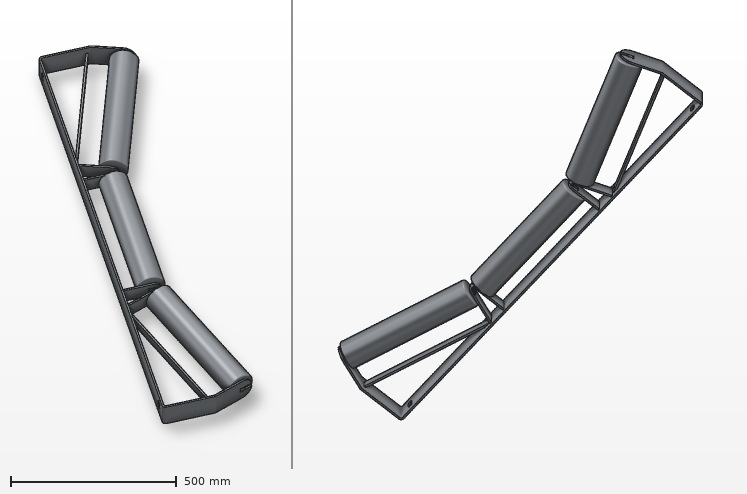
import cadquery as cq
import math

frame_length = 1400.0
strip_width = 80.0
strip_thickness = 6.0
bend_radius = 11.0
arm_bend_height = 164.0
tilt_angle = 20.0
axle_distance_on_arm = 102.0
arm_length = 136.0
mount_hole_width = 17.0
mount_hole_height = 28.0
mount_hole_edge_distance = 46.0

roller_diameter = 90.0
roller_length = 430.0
roller_edge_radius = 4.9
roller_end_gap = 4.9
centre_roller_end_gap = 3.0
centre_roller_height = 98.0
axle_diameter = 20.0
axle_flat_width = 14.0

bracket_height = 127.0
bracket_width = 50.0
bracket_bend_radius = 7.0

brace_width = 30.0
brace_thickness = 7.0
brace_top_height = 154.0

tilt = math.radians(tilt_angle)
sin_tilt = math.sin(tilt)
cos_tilt = math.cos(tilt)
tan_tilt = math.tan(tilt)
half_length = frame_length / 2
axle_radius = axle_diameter / 2

outer_axle_x = half_length - axle_distance_on_arm * sin_tilt
outer_axle_y = arm_bend_height + axle_distance_on_arm * cos_tilt
plate_to_plate = roller_length + 2 * roller_end_gap
side_axle_length = plate_to_plate + 2 * strip_thickness
bracket_face_distance = strip_thickness + plate_to_plate
bracket_axle_x = outer_axle_x - bracket_face_distance * cos_tilt
bracket_axle_y = outer_axle_y - bracket_face_distance * sin_tilt
centre_axle_length = roller_length + 2 * (centre_roller_end_gap + strip_thickness)
bracket_inner_x = roller_length / 2 + centre_roller_end_gap


def mirrored(workplane):
    """The left-hand twin of a right-hand body."""
    return workplane.mirror("YZ")


def strip(points, width):
    """A flat outline in XY made into a plate of the given width, centred on z = 0."""
    return cq.Workplane("XY").polyline(points).close().extrude(width / 2, both=True)


def tilted_plane(x, y):
    """A plane at (x, y): its X runs up along the right-hand arm, its Y along Z, its normal inwards."""
    return cq.Plane(origin=(x, y, 0), xDir=(-sin_tilt, cos_tilt, 0), normal=(-cos_tilt, -sin_tilt, 0))


def level_plane(x, y):
    """A plane at (x, y): its X runs along Y, its Y along Z, its normal along -X."""
    return cq.Plane(origin=(x, y, 0), xDir=(0, 1, 0), normal=(-1, 0, 0))


def round_ended_plate(plane, length, width, depth):
    """A strip of the given length along the plane's X, square at its start and fully rounded at its tip."""
    round_centre = length - width / 2
    return (
        cq.Workplane(plane)
        .moveTo(0, -width / 2)
        .lineTo(round_centre, -width / 2)
        .threePointArc((length, 0), (round_centre, width / 2))
        .lineTo(0, width / 2)
        .close()
        .extrude(depth)
    )


def axle_slot(plane):
    """Cutter for a square-ended slot under an axle, open upwards past the plate's tip."""
    slot_length = strip_width
    return (
        cq.Workplane(plane)
        .center(slot_length / 2 - axle_radius, 0)
        .rect(slot_length, axle_flat_width)
        .extrude(strip_thickness)
    )


def rounded_bends(body, distance, heights, radius):
    """Round the full-width bend edges at x = -distance and x = +distance at each given height."""
    match_tolerance = 0.01
    bends = body.edges("|Z").filter(
        lambda edge: math.isclose(abs(edge.Center().x), distance, abs_tol=match_tolerance)
        and any(math.isclose(edge.Center().y, height, abs_tol=match_tolerance) for height in heights)
    )
    return bends.fillet(radius).clean()


def make_arm():
    """The right-hand leaning arm, with a rounded tip and an axle slot."""
    outer_face = tilted_plane(half_length, arm_bend_height)
    arm = round_ended_plate(outer_face, arm_length, strip_width, strip_thickness)
    return arm.cut(axle_slot(tilted_plane(outer_axle_x, outer_axle_y)))


def make_frame():
    """Base, uprights and arms as one bent strip."""
    inner_x = half_length - strip_thickness
    inner_bend_y = arm_bend_height - strip_thickness * math.tan(tilt / 2)
    right_half = [
        (half_length, 0),
        (half_length, arm_bend_height),
        (inner_x, inner_bend_y),
        (inner_x, strip_thickness),
    ]
    left_half = [(-x, y) for x, y in reversed(right_half)]
    arm = make_arm()
    frame = strip(right_half + left_half, strip_width).union(arm).union(mirrored(arm))
    frame = rounded_bends(frame, half_length, (0, arm_bend_height), bend_radius)
    frame = rounded_bends(frame, inner_x, (strip_thickness, inner_bend_y), bend_radius - strip_thickness)
    hole_x = half_length - mount_hole_edge_distance
    holes = (
        cq.Workplane("XZ")
        .pushPoints([(-hole_x, 0), (hole_x, 0)])
        .slot2D(mount_hole_height, mount_hole_width, 90)
        .extrude(-strip_thickness)
    )
    return frame.cut(holes)


def make_roller(plane, axle_length):
    """A roller on a flatted axle; the axle starts on the plane and runs along its normal."""
    end_offset = (axle_length - roller_length) / 2
    drum = (
        cq.Workplane(plane)
        .workplane(offset=end_offset)
        .circle(roller_diameter / 2)
        .extrude(roller_length)
        .edges("%CIRCLE")
        .fillet(roller_edge_radius)
    )
    flats = cq.Workplane(plane).rect(axle_diameter, axle_flat_width).extrude(axle_length)
    axle = cq.Workplane(plane).circle(axle_radius).extrude(axle_length).intersect(flats)
    return drum.union(axle)


def make_bracket():
    """The right-hand folded bracket: a leg for the centre roller and a leaning one for the side roller."""
    def leaning_x(y):
        return bracket_axle_x + (bracket_axle_y - y) * tan_tilt

    leg_inner_x = bracket_inner_x + strip_thickness
    leaning_thickness = strip_thickness / cos_tilt
    web_y = bracket_height - strip_thickness
    bracket = strip(
        [
            (bracket_inner_x, strip_thickness),
            (bracket_inner_x, bracket_height),
            (leaning_x(bracket_height), bracket_height),
            (leaning_x(strip_thickness), strip_thickness),
            (leaning_x(strip_thickness) - leaning_thickness, strip_thickness),
            (leaning_x(web_y) - leaning_thickness, web_y),
            (leg_inner_x, web_y),
            (leg_inner_x, strip_thickness),
        ],
        bracket_width,
    )
    bracket = bracket.edges("|Z and >Y").fillet(bracket_bend_radius)
    side_plane = level_plane(half_length, 0)
    end_on_outline = round_ended_plate(side_plane, bracket_height, bracket_width, half_length)
    bracket = bracket.intersect(end_on_outline)
    side_slot = axle_slot(tilted_plane(bracket_axle_x, bracket_axle_y))
    centre_slot = axle_slot(level_plane(leg_inner_x, centre_roller_height))
    return bracket.cut(side_slot).cut(centre_slot)


def make_brace():
    """The right-hand diagonal, ending on the upright's inner face and the base's inner face."""
    upright_x = half_length - strip_thickness
    thickness_along_y = brace_thickness / cos_tilt
    brace_bottom_height = brace_top_height - thickness_along_y
    top_run = (brace_top_height - strip_thickness) / tan_tilt
    bottom_run = (brace_bottom_height - strip_thickness) / tan_tilt
    return strip(
        [
            (upright_x, brace_bottom_height),
            (upright_x, brace_top_height),
            (upright_x - top_run, strip_thickness),
            (upright_x - bottom_run, strip_thickness),
        ],
        brace_width,
    )


frame = make_frame()
centre_roller = make_roller(level_plane(centre_axle_length / 2, centre_roller_height), centre_axle_length)
side_roller = make_roller(tilted_plane(outer_axle_x, outer_axle_y), side_axle_length)
bracket = make_bracket()
brace = make_brace()

bodies = [frame.val(), centre_roller.val()]
for right_body in (side_roller, bracket, brace):
    bodies.append(right_body.val())
    bodies.append(mirrored(right_body).val())

result = cq.Compound.makeCompound(bodies)